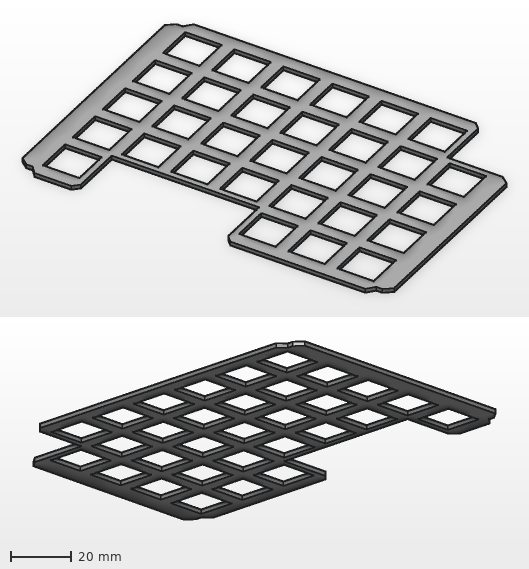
import cadquery as cq

length = 144.4
width = 101.0
thickness = 1.6

pitch = 19.0
opening = 14.1
column_count = 7
row_count = 5
web = pitch - opening
half_web = web / 2

chamfer = 2.3

openings_right = ((column_count - 1) * pitch + opening) / 2
openings_left = -openings_right
openings_top = ((row_count - 1) * pitch + opening) / 2
openings_bottom = -openings_top

right = length / 2
left = -right
top = width / 2
bottom = -top

notch_first_column = 1
notch_last_column = 3
top_row_columns = column_count - 1

cell_left = openings_left - half_web
cell_top = openings_top + half_web
cell_bottom = -cell_top
notch_left = cell_left + notch_first_column * pitch
notch_right = cell_left + (notch_last_column + 1) * pitch
notch_roof = cell_bottom + pitch
step_x = cell_left + top_row_columns * pitch
step_y = cell_top - pitch

ledge_end = openings_right + web
ledge_start = openings_right + half_web


def has_opening(column, row):
    """True where the grid carries an opening; the top right cell and the bottom notch do not."""
    if row == 0:
        return column < top_row_columns
    if row == row_count - 1:
        return not notch_first_column <= column <= notch_last_column
    return True


def make_plate():
    outline = [
        (left, openings_top),
        (-ledge_end, cell_top),
        (-ledge_start, cell_top),
        (openings_left, top),
        (step_x - chamfer, top),
        (step_x, top - chamfer),
        (step_x, step_y),
        (ledge_end, step_y),
        (right, step_y - half_web),
        (right, openings_bottom),
        (ledge_end, cell_bottom),
        (ledge_start, cell_bottom),
        (openings_right, bottom),
        (notch_right + chamfer, bottom),
        (notch_right, bottom + chamfer),
        (notch_right, notch_roof),
        (notch_left, notch_roof),
        (notch_left, bottom + chamfer),
        (notch_left - chamfer, bottom),
        (openings_left, bottom),
        (-ledge_start, cell_bottom),
        (-ledge_end, cell_bottom),
        (left, openings_bottom),
    ]
    return cq.Workplane("XY").polyline(outline).close().extrude(thickness)


def make_opening_cutters():
    first_x = openings_left + opening / 2
    first_y = openings_top - opening / 2
    centres = [
        (first_x + column * pitch, first_y - row * pitch)
        for row in range(row_count)
        for column in range(column_count)
        if has_opening(column, row)
    ]
    return cq.Workplane("XY").pushPoints(centres).rect(opening, opening).extrude(thickness)


result = make_plate().cut(make_opening_cutters())